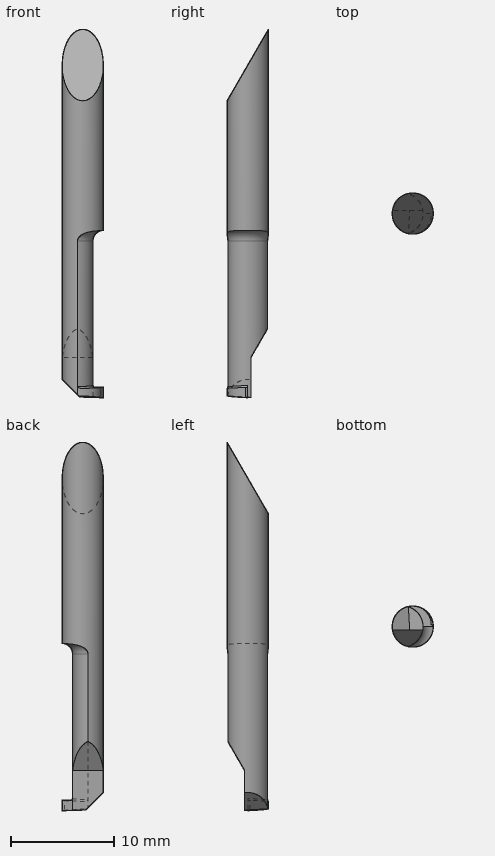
import cadquery as cq
import math

length = 35.7
radius = 2.0
neck_offset = 1.0
shoulder_z = 16.2
shoulder_fillet = 1.0
tip_top_z = 1.05
tip_fillet = 0.18
end_slope = 60.0
back_flat_y = 0.32
runout_z = 3.93
relief_radius = 1.8
relief_y = -0.2
bevel_height = 1.8
tip_clearance = 3.0
underside_tilt = 2.5

margin = 0.35
reach = radius + margin
slope = math.tan(math.radians(end_slope))
clearance_slope = math.tan(math.radians(tip_clearance))
neck_edge_x = -neck_offset / 2


def side_prism(points):
    """Prism across the full width in X from (y, z) points."""
    return cq.Workplane("YZ").polyline(points).close().extrude(reach, both=True)


def top_cutter():
    """Everything above the sloped top face."""
    return side_prism([
        (reach, length + margin * slope),
        (-reach, length - (radius + reach) * slope),
        (-reach, length + margin * slope),
    ])


def back_cutter():
    """Material behind the lower shank flat, with a sloped run-out."""
    return side_prism([
        (back_flat_y, -margin),
        (back_flat_y, runout_z),
        (reach, runout_z + (reach - back_flat_y) * slope),
        (reach, -margin),
    ])


def underside_cutter():
    """Clearance wedge below the bar, rising from the cutting corner toward -Y and -X."""
    wedge = side_prism([
        (reach, -reach * clearance_slope),
        (-reach, reach * clearance_slope),
        (-reach, -2 * margin),
        (reach, -2 * margin),
    ])
    return wedge.rotate((radius, 0, 0), (radius, 1, 0), underside_tilt)


def bevel_cutter():
    """Corner below the 45 degree bevel on the -X side."""
    return (
        cq.Workplane("XZ")
        .polyline([
            (-reach, bevel_height + margin),
            (bevel_height - radius + margin, -margin),
            (-reach, -margin),
        ])
        .close()
        .extrude(reach, both=True)
    )


def neck_cutter():
    """Ring around the offset neck axis, filleted into the shoulder and open at the lower end."""
    outer = radius + neck_offset + margin
    arc_inset = shoulder_fillet * (1 - math.sqrt(0.5))
    return (
        cq.Workplane("XZ")
        .moveTo(outer, -margin)
        .lineTo(radius, -margin)
        .lineTo(radius, shoulder_z - shoulder_fillet)
        .threePointArc(
            (radius + arc_inset, shoulder_z - arc_inset),
            (radius + shoulder_fillet, shoulder_z),
        )
        .lineTo(outer, shoulder_z)
        .close()
        .revolve(360, (0, 0, 0), (0, 1, 0))
        .translate((-neck_offset, 0, 0))
    )


def neck_cylinder():
    """The neck surface continued down to the lower end, as a solid."""
    return (
        cq.Workplane("XY", origin=(-neck_offset, 0, -margin))
        .circle(radius)
        .extrude(shoulder_z)
    )


def hook_outline():
    """Hook in plan: round relief from the neck edge, then a flat flank out to the cutting edge."""
    neck_edge_y = relief_y - math.sqrt(relief_radius**2 - neck_edge_x**2)
    arc_middle = relief_radius * math.sqrt(0.5)
    return (
        cq.Workplane("XY", origin=(0, 0, -margin))
        .moveTo(neck_edge_x, 0)
        .lineTo(neck_edge_x, neck_edge_y)
        .threePointArc((arc_middle, relief_y - arc_middle), (relief_radius, relief_y))
        .lineTo(radius, 0)
        .close()
        .extrude(shoulder_z)
    )


def filleted_hook_stock():
    """Neck standing on a slab whose top falls toward -Y, with a fillet where they meet."""
    slab_half = 2 * radius
    slab_drop = slab_half * clearance_slope
    slab = (
        cq.Workplane("YZ")
        .polyline([
            (-slab_half, -margin),
            (slab_half, -margin),
            (slab_half, tip_top_z + slab_drop),
            (-slab_half, tip_top_z - slab_drop),
        ])
        .close()
        .extrude(slab_half, both=True)
    )
    foot = cq.selectors.BoxSelector(
        (-slab_half, -slab_half, tip_top_z - slab_drop),
        (slab_half, slab_half, tip_top_z + slab_drop),
        boundingbox=True,
    )
    joined = slab.union(neck_cylinder())
    return joined.edges(foot).edges("not %LINE").fillet(tip_fillet)


def make_shank():
    """Round bar with the offset neck, the sloped top, the back flat and the end bevel."""
    shank = cq.Workplane("XY").circle(radius).extrude(length)
    for cutter in (top_cutter(), neck_cutter(), back_cutter(), underside_cutter(), bevel_cutter()):
        shank = shank.cut(cutter)
    return shank


def make_hook():
    """Cutting hook wrapped around the lower end of the neck."""
    hook = filleted_hook_stock().intersect(hook_outline())
    for cutter in (neck_cylinder(), underside_cutter(), bevel_cutter()):
        hook = hook.cut(cutter)
    return hook


shank = make_shank()
hook = make_hook()

result = cq.Compound.makeCompound([shank.solids().val(), hook.solids().val()])